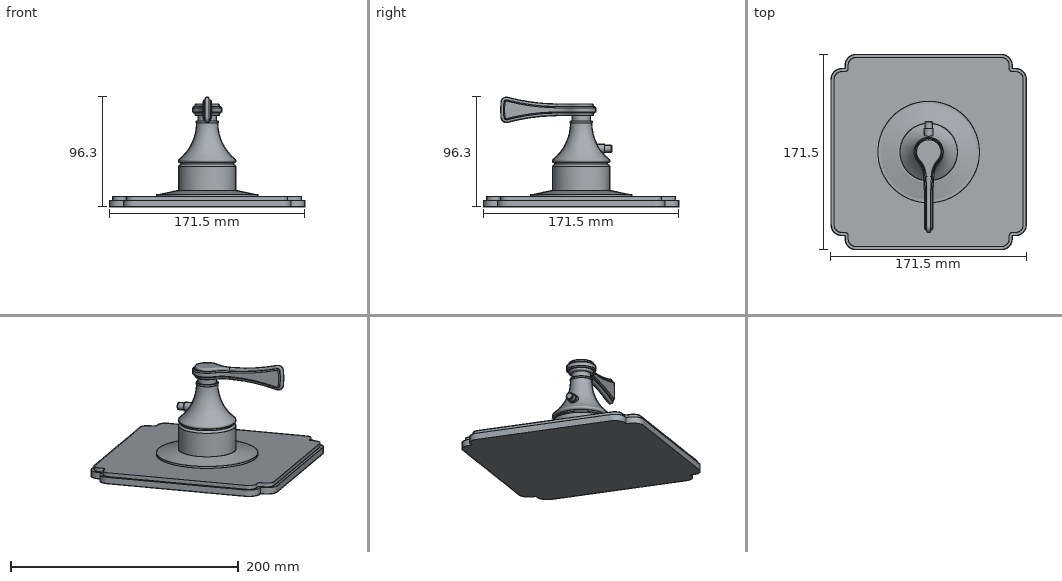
import cadquery as cq
import math

PLATE_SIZE = 171.5
PLATE_BASE_HEIGHT = 5.8
PLATE_TOP = 9.3
PLATE_STEP = 2.7
NOTCH_DEPTH = 12.3
CORNER_RADIUS = 9.6

DIAL_RADIUS = 44.5
DIAL_CONE_RADIUS = 42.2
DIAL_FLAT_RADIUS = 27.0
DIAL_RIM_TOP = 11.0
DIAL_TOP = 14.2

BODY_RADIUS = 25.2
BODY_CHAMFER = 1.9
GROOVE_BOTTOM = 37.5
GROOVE_TOP = 39.0
RIM_EDGE_RADIUS = 24.9
RIM_TOP = 41.5
BELL_TOP_RADIUS = 9.5
BELL_TOP = 73.5
BEAD_HEIGHT = 1.7
BEAD_BULGE = 0.3
STEM_RADIUS = 8.2

BUTTON_Z = 51.1
BUTTON_COLLAR_RADIUS = 4.0
BUTTON_COLLAR_END = 20.5
BUTTON_TIP_RADIUS = 3.3
BUTTON_TIP_END = 27.0
BUTTON_CHAMFER = 0.7

LEVER_Z = 85.2
HUB_RADIUS = 12.9
HUB_HALF_HEIGHT = 5.1
NECK_HALF_WIDTH = 4.5
NECK_Y = -21.5
TAIL_HALF_WIDTH = 3.8
TAIL_Y = -34.8
FLARE_START_Y = -18.9
FLARE_RADIUS = 180.0
LEVER_END_Y = -69.8
TIP_BULGE = 0.9
TIP_CORNER_RADIUS = 4.8
CORE_INSET = 2.0
BAND_INSET = 2.4
BAND_CHAMFER = 1.0
CORE_FILLET = 1.4
OVERRUN = 17.1


def make_plate():
    """Two crossed rounded rectangles give the scalloped outline; the top is stepped in."""
    narrow = PLATE_SIZE - 2 * NOTCH_DEPTH

    def rounded_bar(x_size, y_size):
        bar = cq.Workplane("XY").rect(x_size, y_size).extrude(PLATE_BASE_HEIGHT)
        return bar.edges("|Z").fillet(CORNER_RADIUS)

    base = rounded_bar(PLATE_SIZE, narrow).union(rounded_bar(narrow, PLATE_SIZE))
    raised_face = (
        base.faces(">Z").wires().toPending()
        .workplane().offset2D(-PLATE_STEP)
        .extrude(PLATE_TOP - PLATE_BASE_HEIGHT, combine=False)
    )
    return base.union(raised_face)


def make_turned_body():
    """Dial, body, grooved rim, bell, bead and stem as one revolved profile."""
    groove_radius = BODY_RADIUS - BODY_CHAMFER
    body_edge_z = GROOVE_BOTTOM - BODY_CHAMFER

    bell_width = RIM_EDGE_RADIUS - BELL_TOP_RADIUS
    bell_height = BELL_TOP - RIM_TOP
    bell_radius = (bell_width**2 + bell_height**2) / (2 * bell_width)
    bell_half_angle = math.asin(bell_height / bell_radius) / 2
    bell_mid = (
        BELL_TOP_RADIUS + bell_radius * (1 - math.cos(bell_half_angle)),
        BELL_TOP - bell_radius * math.sin(bell_half_angle),
    )
    bead_top = BELL_TOP + BEAD_HEIGHT

    profile = (
        cq.Workplane("XZ")
        .moveTo(0, PLATE_BASE_HEIGHT)
        .lineTo(DIAL_RADIUS, PLATE_BASE_HEIGHT)
        .lineTo(DIAL_RADIUS, DIAL_RIM_TOP)
        .lineTo(DIAL_CONE_RADIUS, DIAL_RIM_TOP)
        .lineTo(DIAL_FLAT_RADIUS, DIAL_TOP)
        .lineTo(BODY_RADIUS, DIAL_TOP)
        .lineTo(BODY_RADIUS, body_edge_z)
        .lineTo(groove_radius, GROOVE_BOTTOM)
        .lineTo(groove_radius, GROOVE_TOP)
        .threePointArc((BODY_RADIUS, (GROOVE_TOP + RIM_TOP) / 2), (RIM_EDGE_RADIUS, RIM_TOP))
        .threePointArc(bell_mid, (BELL_TOP_RADIUS, BELL_TOP))
        .threePointArc((BELL_TOP_RADIUS + BEAD_BULGE, BELL_TOP + BEAD_HEIGHT / 2), (BELL_TOP_RADIUS, bead_top))
        .lineTo(STEM_RADIUS, bead_top)
        .lineTo(STEM_RADIUS, LEVER_Z)
        .lineTo(0, LEVER_Z)
        .close()
    )
    return profile.revolve(360, (0, 0, 0), (0, 1, 0))


def make_button():
    """Stepped pin along +Y, starting on the bell axis."""
    plane = cq.Workplane("XZ", origin=(0, 0, BUTTON_Z))
    collar = plane.circle(BUTTON_COLLAR_RADIUS).extrude(-BUTTON_COLLAR_END)
    tip = plane.circle(BUTTON_TIP_RADIUS).extrude(-BUTTON_TIP_END)
    return collar.union(tip.faces(">Y").chamfer(BUTTON_CHAMFER))


def lever_plan(inset):
    """Outline seen along Z: round hub, concave neck and slim tail, moved in by inset."""
    neck_radius = (NECK_HALF_WIDTH**2 + NECK_Y**2 - HUB_RADIUS**2) / (2 * (HUB_RADIUS - NECK_HALF_WIDTH))
    neck_angle = math.asin(-NECK_Y / (HUB_RADIUS + neck_radius))
    neck_center_x = NECK_HALF_WIDTH + neck_radius

    hub_radius = HUB_RADIUS - inset
    arc_radius = neck_radius + inset
    join = (hub_radius * math.cos(neck_angle), -hub_radius * math.sin(neck_angle))
    neck_mid = (
        neck_center_x - arc_radius * math.cos(neck_angle / 2),
        NECK_Y + arc_radius * math.sin(neck_angle / 2),
    )
    neck = NECK_HALF_WIDTH - inset
    tail = TAIL_HALF_WIDTH - inset
    end_y = LEVER_END_Y - OVERRUN
    return (
        cq.Workplane("XY", origin=(0, 0, LEVER_Z - OVERRUN))
        .moveTo(tail, end_y)
        .lineTo(tail, TAIL_Y)
        .lineTo(neck, NECK_Y)
        .threePointArc(neck_mid, join)
        .threePointArc((0, hub_radius), (-join[0], join[1]))
        .threePointArc((-neck_mid[0], neck_mid[1]), (-neck, NECK_Y))
        .lineTo(-tail, TAIL_Y)
        .lineTo(-tail, end_y)
        .close()
        .extrude(2 * OVERRUN)
    )


def lever_side(inset):
    """Outline seen along X: level hub flaring to a rounded tip, moved in by inset."""
    hub_half = HUB_HALF_HEIGHT - inset
    radius = FLARE_RADIUS + inset
    end_y = LEVER_END_Y + inset
    flare_angle = math.asin((FLARE_START_Y - end_y) / radius)

    def flare_point(angle):
        return FLARE_START_Y - radius * math.sin(angle), hub_half + radius * (1 - math.cos(angle))

    mid_y, mid_z = flare_point(flare_angle / 2)
    tip_z = flare_point(flare_angle)[1]
    hub_end = HUB_RADIUS + OVERRUN
    blade = (
        cq.Workplane("YZ", origin=(-OVERRUN, 0, LEVER_Z))
        .moveTo(hub_end, hub_half)
        .lineTo(FLARE_START_Y, hub_half)
        .threePointArc((mid_y, mid_z), (end_y, tip_z))
        .threePointArc((end_y - TIP_BULGE, 0), (end_y, -tip_z))
        .threePointArc((mid_y, -mid_z), (FLARE_START_Y, -hub_half))
        .lineTo(hub_end, -hub_half)
        .close()
        .extrude(2 * OVERRUN)
    )
    corners = blade.edges("|X").edges("<Y")
    return corners.fillet(TIP_CORNER_RADIUS - inset)


def rim_edges(solid):
    """Edges around the hub, blade and tip; leaves out those crossing the thickness."""
    return solid.edges("(not |Z) and (not |X)")


def make_lever():
    """A tall slim core with rounded edges and a lower, wider bevelled band around it."""
    core = lever_plan(CORE_INSET).intersect(lever_side(0))
    band = lever_plan(0).intersect(lever_side(BAND_INSET))
    return rim_edges(core).fillet(CORE_FILLET).union(rim_edges(band).chamfer(BAND_CHAMFER))


result = make_plate().union(make_turned_body()).union(make_button()).union(make_lever())